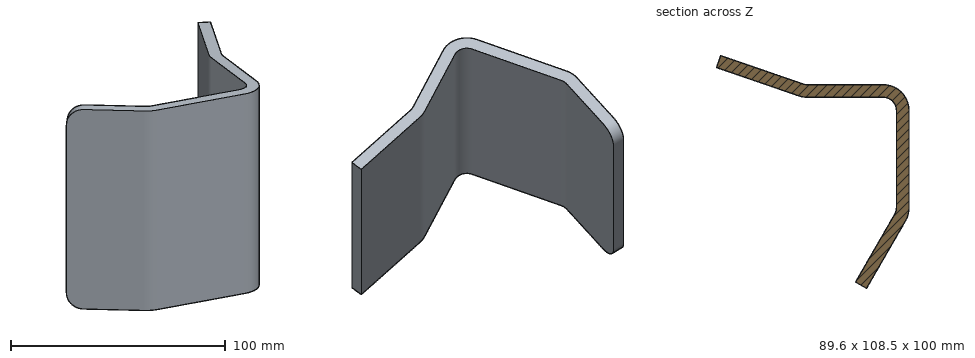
import cadquery as cq
import math

height = 100.0
thickness = 6.0
bend_inner_radius = 6.1
bend_outer_radius = bend_inner_radius + thickness
bend_middle_radius = bend_inner_radius + thickness / 2
end_corner_radius = 8.1

wing_length = 40.5
back_length = 35.3
side_length = 45.3
lip_length = 36.4

wing_bend = 19
corner_bend = -90
lip_bend = -30


def step(point, distance, angle):
    """Point reached by moving a distance from a point at an angle in degrees."""
    radians = math.radians(angle)
    return (point[0] + distance * math.cos(radians), point[1] + distance * math.sin(radians))


def straight_plate(start, length, heading):
    """Flat plate whose centre line leaves the start at the given heading, and its end point."""
    centre = step(start, length / 2, heading)
    plate = (
        cq.Workplane("XY")
        .rect(length, thickness)
        .extrude(height)
        .rotate((0, 0, 0), (0, 0, 1), heading)
        .translate((centre[0], centre[1], 0))
    )
    return plate, step(start, length, heading)


def bend(start, heading, angle):
    """Curved piece that turns the sheet from the heading through the angle, and its end point."""
    inward = heading + math.copysign(90, angle)
    centre = step(start, bend_middle_radius, inward)
    first = inward + 180
    middle = first + angle / 2
    last = first + angle
    piece = (
        cq.Workplane("XY")
        .moveTo(*step(centre, bend_inner_radius, first))
        .lineTo(*step(centre, bend_outer_radius, first))
        .threePointArc(step(centre, bend_outer_radius, middle), step(centre, bend_outer_radius, last))
        .lineTo(*step(centre, bend_inner_radius, last))
        .threePointArc(step(centre, bend_inner_radius, middle), step(centre, bend_inner_radius, first))
        .close()
        .extrude(height)
    )
    return piece, step(centre, bend_middle_radius, last)


heading = -wing_bend
sheet, position = straight_plate((0, 0), wing_length, heading)

bent_plates = [(wing_bend, back_length), (corner_bend, side_length)]
for angle, length in bent_plates:
    curve, position = bend(position, heading, angle)
    heading += angle
    plate, position = straight_plate(position, length, heading)
    sheet = sheet.union(curve).union(plate)

curve, position = bend(position, heading, lip_bend)
heading += lip_bend
lip = straight_plate((0, 0), lip_length, 0)[0]
lip = lip.faces(">X").edges("|Y").fillet(end_corner_radius)
lip = lip.rotate((0, 0, 0), (0, 0, 1), heading).translate((position[0], position[1], 0))

result = sheet.union(curve).union(lip)